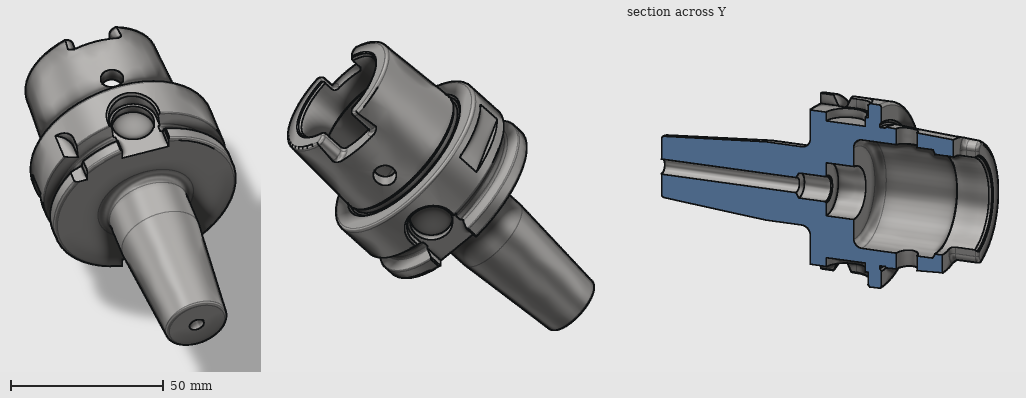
import cadquery as cq
import math


SHANK_LENGTH = 32.0
TAPER_SLOPE = 0.05
GAUGE_RADIUS = 24.0
GAUGE_POSITION = 6.3
SHANK_EDGE_ROUND = 1.0
RELIEF_START = 1.9
RELIEF_RAMP = 0.7
RELIEF_RADIUS = 23.8
RECESS_DEPTH = 0.5
RECESS_FLOOR_RADIUS = 24.7
RECESS_RADIUS = 25.5

FLANGE_RADIUS = 31.5
FLANGE_WIDTH = 26.0
FLANGE_EDGE_ROUND = 1.0
GROOVE_CENTER = 18.0
GROOVE_RADIUS = 27.5
GROOVE_WIDTH = 6.9
GROOVE_HALF_ANGLE = 27.0
GROOVE_FLOOR_ROUND = 1.0
GROOVE_EDGE_ROUND = 0.5

OVERALL_LENGTH = 112.0
NOSE_END = OVERALL_LENGTH - SHANK_LENGTH
NECK_RADIUS = 13.5
TIP_RADIUS = 10.5
NOSE_TAPER_ANGLE = 4.5
TIP_EDGE_ROUND = 1.0
NECK_FILLET = 3.0

BORE_RADIUS = 17.0
BORE_MOUTH_RADIUS = 18.0
BORE_LEAD_RADIUS = 17.5
BORE_CHAMFER_DEPTH = 0.3
BORE_LEAD_DEPTH = 1.1
BORE_FLOOR = 10.0
UNDERCUT_START = -19.4
UNDERCUT_RADIUS = 18.5
UNDERCUT_ANGLE = 60.0
BORE_FLOOR_ROUND = 2.8
TUBE_SEAT_RADIUS = 9.0
TUBE_SEAT_FLOOR = 20.0
PILOT_RADIUS = 4.6
PILOT_CHAMFER = 0.4
PILOT_DEPTH = 10.0
DRILL_POINT_ANGLE = 59.0
THROUGH_RADIUS = 2.5

DRIVE_SLOT_WIDTH = 12.5
DRIVE_SLOT_SHOULDER = 21.0
DRIVE_SLOT_CORNER = 3.0
DRIVE_SLOT_FLOOR_ROUND = 1.5
UPPER_SLOT_DEPTH = 5.8
LOWER_SLOT_DEPTH = 9.8

ACCESS_HOLE_DIAMETER = 7.5
ACCESS_HOLE_X = -9.1

KEYWAY_CENTER_X = 13.0
KEYWAY_RADIUS = 8.0
KEYWAY_FLOOR = 26.5
KEYWAY_CHAMFER = 0.8
KEYWAY_END_CHAMFER = 0.5
POCKET_DIAMETER = 14.0
POCKET_DEPTH = 3.0

NOTCH_OFFSET = 20.0
NOTCH_CUTTER_RADIUS = 7.0
NOTCH_CENTER_X = 11.8

FLAT_DISTANCE = 29.0
FLAT_START = 3.4
FLAT_WIDTH = 7.9
FLAT_ANGLE = 22.5

CLEARANCE = 5.0
MATCH_TOLERANCE = 0.01


def taper_radius(x):
    return GAUGE_RADIUS + TAPER_SLOPE * (x + GAUGE_POSITION)


def revolve_profile(points):
    return cq.Workplane("XZ").polyline(points).close().revolve(360, (0, 0, 0), (1, 0, 0))


def rings_at(body, places):
    """Circular edges around the X axis at the given (x, radius) places."""
    def matches(edge):
        if edge.geomType() != "CIRCLE":
            return False
        x, radius = edge.arcCenter().x, edge.radius()
        return any(math.hypot(x - px, radius - pr) < MATCH_TOLERANCE for px, pr in places)
    return body.newObject([edge for edge in body.edges().vals() if matches(edge)])


def make_shank():
    relief_x = -RELIEF_START
    end_radius = taper_radius(-SHANK_LENGTH)
    shank = revolve_profile([
        (-SHANK_LENGTH, 0),
        (-SHANK_LENGTH, end_radius),
        (relief_x, taper_radius(relief_x)),
        (relief_x + RELIEF_RAMP, RELIEF_RADIUS),
        (RECESS_DEPTH, RELIEF_RADIUS),
        (RECESS_DEPTH, 0),
    ])
    return rings_at(shank, [(-SHANK_LENGTH, end_radius)]).fillet(SHANK_EDGE_ROUND)


def make_flange_and_nose():
    half_top = GROOVE_WIDTH / 2
    wall_run = (FLANGE_RADIUS - GROOVE_RADIUS) * math.tan(math.radians(GROOVE_HALF_ANGLE))
    half_floor = half_top - wall_run
    taper_length = (NECK_RADIUS - TIP_RADIUS) / math.tan(math.radians(NOSE_TAPER_ANGLE))
    groove_edges = [(GROOVE_CENTER + side * half_top, FLANGE_RADIUS) for side in (-1, 1)]
    groove_corners = [(GROOVE_CENTER + side * half_floor, GROOVE_RADIUS) for side in (-1, 1)]
    body = revolve_profile([
        (RECESS_DEPTH, 0),
        (RECESS_DEPTH, RECESS_FLOOR_RADIUS),
        (0, RECESS_RADIUS),
        (0, FLANGE_RADIUS),
        groove_edges[0],
        groove_corners[0],
        groove_corners[1],
        groove_edges[1],
        (FLANGE_WIDTH, FLANGE_RADIUS),
        (FLANGE_WIDTH, NECK_RADIUS),
        (NOSE_END - taper_length, NECK_RADIUS),
        (NOSE_END, TIP_RADIUS),
        (NOSE_END, 0),
    ])
    flange_edges = [(0, FLANGE_RADIUS), (FLANGE_WIDTH, FLANGE_RADIUS)]
    body = rings_at(body, flange_edges).fillet(FLANGE_EDGE_ROUND)
    body = rings_at(body, groove_corners).fillet(GROOVE_FLOOR_ROUND)
    body = rings_at(body, groove_edges).fillet(GROOVE_EDGE_ROUND)
    body = rings_at(body, [(FLANGE_WIDTH, NECK_RADIUS)]).fillet(NECK_FILLET)
    return rings_at(body, [(NOSE_END, TIP_RADIUS)]).fillet(TIP_EDGE_ROUND)


def make_bore():
    mouth_x = -SHANK_LENGTH
    ramp = (UNDERCUT_RADIUS - BORE_RADIUS) / math.tan(math.radians(UNDERCUT_ANGLE))
    bore = revolve_profile([
        (mouth_x, 0),
        (mouth_x, BORE_MOUTH_RADIUS),
        (mouth_x + BORE_CHAMFER_DEPTH, BORE_LEAD_RADIUS),
        (mouth_x + BORE_LEAD_DEPTH, BORE_RADIUS),
        (UNDERCUT_START, BORE_RADIUS),
        (UNDERCUT_START + ramp, UNDERCUT_RADIUS),
        (BORE_FLOOR, UNDERCUT_RADIUS),
        (BORE_FLOOR, 0),
    ])
    return rings_at(bore, [(BORE_FLOOR, UNDERCUT_RADIUS)]).fillet(BORE_FLOOR_ROUND)


def make_inner_holes():
    pilot_end = TUBE_SEAT_FLOOR + PILOT_DEPTH
    pilot_inner = PILOT_RADIUS - PILOT_CHAMFER
    point_length = (pilot_inner - THROUGH_RADIUS) / math.tan(math.radians(DRILL_POINT_ANGLE))
    return revolve_profile([
        (BORE_FLOOR, 0),
        (BORE_FLOOR, TUBE_SEAT_RADIUS),
        (TUBE_SEAT_FLOOR, TUBE_SEAT_RADIUS),
        (TUBE_SEAT_FLOOR, PILOT_RADIUS),
        (TUBE_SEAT_FLOOR + PILOT_CHAMFER, pilot_inner),
        (pilot_end, pilot_inner),
        (pilot_end + point_length, THROUGH_RADIUS),
        (NOSE_END + CLEARANCE, THROUGH_RADIUS),
        (NOSE_END + CLEARANCE, 0),
    ])


def drive_slot_section(x, growth):
    """T-shaped section open to the outside, with its lower outline grown by an offset."""
    radius = DRIVE_SLOT_CORNER - growth
    center_y = DRIVE_SLOT_WIDTH / 2 + DRIVE_SLOT_CORNER
    center_z = DRIVE_SLOT_SHOULDER - DRIVE_SLOT_CORNER
    half_width = center_y - radius
    shoulder_z = center_z + radius
    mid_y = center_y - radius * math.sqrt(0.5)
    mid_z = center_z + radius * math.sqrt(0.5)
    outside = GAUGE_RADIUS + CLEARANCE
    return (
        cq.Workplane("YZ", origin=(x, 0, 0))
        .moveTo(-half_width, 0)
        .lineTo(-half_width, center_z)
        .threePointArc((-mid_y, mid_z), (-center_y, shoulder_z))
        .lineTo(-outside, shoulder_z)
        .lineTo(-outside, outside)
        .lineTo(outside, outside)
        .lineTo(outside, shoulder_z)
        .lineTo(center_y, shoulder_z)
        .threePointArc((mid_y, mid_z), (half_width, center_z))
        .lineTo(half_width, 0)
        .close()
    )


def make_drive_slot(depth):
    """Cutter for the +Z drive slot, rounded at its floor and flared at its mouth."""
    def on_outline(edge, x):
        """True for the walls, corners and shoulders of the slot section at position x."""
        middle = edge.positionAt(0.5)
        if edge.geomType() == "CIRCLE":
            outline = abs(edge.radius() - DRIVE_SLOT_CORNER) < MATCH_TOLERANCE
        else:
            on_wall = abs(abs(middle.y) - DRIVE_SLOT_WIDTH / 2) < MATCH_TOLERANCE
            on_shoulder = abs(middle.z - DRIVE_SLOT_SHOULDER) < MATCH_TOLERANCE
            outline = on_wall or on_shoulder
        return outline and abs(middle.x - x) < MATCH_TOLERANCE

    mouth_x = -SHANK_LENGTH
    cutter = drive_slot_section(mouth_x, 0).extrude(depth)
    floor_edges = [edge for edge in cutter.edges().vals() if on_outline(edge, mouth_x + depth)]
    cutter = cutter.newObject(floor_edges).fillet(DRIVE_SLOT_FLOOR_ROUND)
    plate = drive_slot_section(mouth_x - CLEARANCE, 2 * SHANK_EDGE_ROUND).extrude(CLEARANCE)
    cutter = cutter.union(plate)
    mouth_edges = [edge for edge in cutter.edges().vals() if on_outline(edge, mouth_x)]
    return cutter.newObject(mouth_edges).fillet(SHANK_EDGE_ROUND)


def make_access_hole():
    return (
        cq.Workplane("XY", origin=(ACCESS_HOLE_X, 0, 0))
        .circle(ACCESS_HOLE_DIAMETER / 2)
        .extrude(FLANGE_RADIUS, both=True)
    )


def half_turn(body):
    return body.rotate((0, 0, 0), (1, 0, 0), 180)


def make_keyway_slot():
    run = FLANGE_WIDTH - KEYWAY_CENTER_X + CLEARANCE
    return (
        cq.Workplane("XY", origin=(KEYWAY_CENTER_X, 0, KEYWAY_FLOOR))
        .moveTo(run, KEYWAY_RADIUS)
        .lineTo(0, KEYWAY_RADIUS)
        .threePointArc((-KEYWAY_RADIUS, 0), (0, -KEYWAY_RADIUS))
        .lineTo(run, -KEYWAY_RADIUS)
        .close()
        .extrude(FLANGE_RADIUS)
    )


def make_keyway_stretch(start, end, chamfer):
    """Volume that the slot and its chamfered rim remove from a plain disc between two X positions."""
    def is_rim(edge):
        middle = edge.positionAt(0.5)
        from_axis = math.hypot(middle.y, middle.z)
        from_center = math.hypot(min(middle.x - KEYWAY_CENTER_X, 0), middle.y)
        on_wall = abs(from_center - KEYWAY_RADIUS) < MATCH_TOLERANCE
        return middle.z > 0 and on_wall and abs(from_axis - FLANGE_RADIUS) < MATCH_TOLERANCE

    disc = cq.Workplane("YZ", origin=(start, 0, 0)).circle(FLANGE_RADIUS).extrude(end - start)
    slotted = disc.cut(make_keyway_slot())
    rim = [edge for edge in slotted.edges().vals() if is_rim(edge)]
    return disc.cut(slotted.newObject(rim).chamfer(chamfer))


def make_keyway():
    """Cutter for the keyway on the +Z side with its round pocket."""
    pocket = (
        cq.Workplane("XY", origin=(KEYWAY_CENTER_X, 0, KEYWAY_FLOOR))
        .circle(POCKET_DIAMETER / 2)
        .extrude(-POCKET_DEPTH)
    )
    front = make_keyway_stretch(0, GROOVE_CENTER, KEYWAY_CHAMFER)
    back = make_keyway_stretch(GROOVE_CENTER, FLANGE_WIDTH, KEYWAY_END_CHAMFER)
    return front.union(back).union(pocket)


def make_notch():
    center_y = -NOTCH_OFFSET - NOTCH_CUTTER_RADIUS
    run = FLANGE_WIDTH - NOTCH_CENTER_X + CLEARANCE
    plane = cq.Workplane("XY", origin=(NOTCH_CENTER_X, center_y, NOTCH_OFFSET))
    round_end = plane.circle(NOTCH_CUTTER_RADIUS).extrude(FLANGE_RADIUS)
    ahead = plane.box(run, 2 * NOTCH_CUTTER_RADIUS, FLANGE_RADIUS, centered=(False, True, False))
    return round_end.union(ahead)


def make_flat():
    cutter = cq.Workplane("XY").box(
        FLAT_WIDTH, FLANGE_RADIUS, 2 * FLANGE_RADIUS, centered=(False, False, True)
    )
    cutter = cutter.translate((FLAT_START, -FLAT_DISTANCE - FLANGE_RADIUS, 0))
    return cutter.rotate((0, 0, 0), (1, 0, 0), FLAT_ANGLE)


flange = make_flange_and_nose()
keyway = make_keyway()
flange = flange.cut(keyway).cut(half_turn(keyway))
flange = flange.cut(make_notch()).cut(make_flat())

shank = make_shank().cut(make_drive_slot(UPPER_SLOT_DEPTH))
shank = shank.cut(half_turn(make_drive_slot(LOWER_SLOT_DEPTH)))

result = shank.union(flange).cut(make_bore()).cut(make_inner_holes()).cut(make_access_hole())